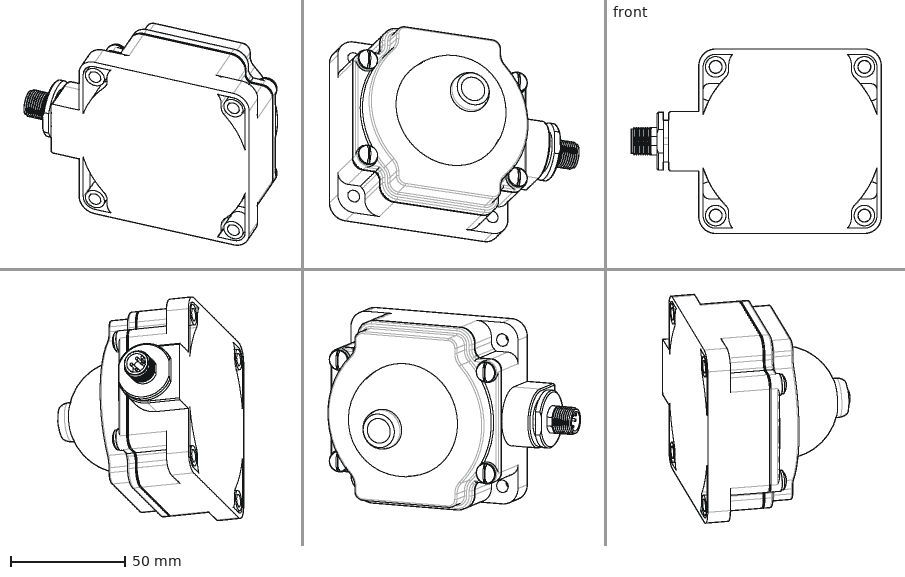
import cadquery as cq
import math


overall_length = 109.6

plate_width = 80.0
plate_height = 80.9
plate_thickness = 10.2
plate_corner_radius = 7.5

body_offset = 2.8
bar_half_height = plate_height / 2 - body_offset
bar_half_width = 24.4
bar_corner_radius = 4.0
disk_radius = 37.4
blend_radius = 7.1

groove_bottom = 27.7
groove_top = 28.4
ledge_level = 32.2
boss_top = 33.5
deck_level = 41.6
overall_depth = 72.3
groove_depth = 0.8
ledge_fillet = 0.9
ledge_blend = 0.8
boss_fillet = 0.4
deck_fillet = 0.8

screw_z = 22.6
ear_radius = 4.8
screw_x = plate_width / 2 - ear_radius
screw_head_radius = 4.4
screw_rim_height = 1.0
screw_head_height = 2.6
screw_slot_width = 1.0
screw_slot_depth = 1.5

mount_spacing = 65.1
mount_hole_radius = 2.7
mount_boss_radius = 4.5

pocket_half_size = 38.0
pocket_corner_radius = 5.4
ear_pocket_inset = 2.2
pocket_core_offset = 2.4
corner_pocket_depth = 8.1
ear_pocket_depth = 24.1
post_level = 16.4

dome_radius = 25.0
cap_radius = 8.7
cap_rim_level = 67.0
cap_shoulder_level = 70.4
cap_shoulder_radius = 7.5
cap_rim_arc_radius = 5.6
crown_radius = 5.5
crown_height = overall_depth - cap_shoulder_level
crown_sphere_radius = (crown_radius ** 2 + crown_height ** 2) / (2 * crown_height)

block_end_x = -53.2
block_root_x = -disk_radius
block_half_width = 13.0
connector_y = groove_bottom - block_half_width
block_chamfer = 0.7

tip_x = plate_width / 2 - overall_length
collar_radius = 9.2
collar_flat = 9.1
flange_back_x = -55.5
flange_front_x = -58.3
flange_radius = 12.7
flange_flat = 11.6
flange_chamfer = 0.7
thread_radius = 6.0
thread_root_radius = 5.4
thread_flat = 5.7
thread_pitch = 1.0
thread_turns = 8
tip_length = 0.9
socket_radius = 4.3
socket_depth = 8.8
pin_radius = 0.5
pin_count = 4
pin_length = 7.7
pin_circle_radius = 2.5
key_radius = 0.7
key_circle_radius = 3.6
key_angle = math.radians(135)


def plane_at(level):
    """Workplane at a level along Y; its local axes are X and Z."""
    return cq.Workplane("XZ", origin=(0, level, 0))


def four_corners(x, z):
    return [(sx * x, sz * z) for sx in (-1, 1) for sz in (-1, 1)]


mount_points = four_corners(mount_spacing / 2, mount_spacing / 2)
screw_points = four_corners(screw_x, screw_z)


def rounded_plate(width, height, radius, bottom, top):
    return plane_at(bottom).rect(width, height).extrude(bottom - top).edges("|Y").fillet(radius)


def disks(points, radius, bottom, top):
    return plane_at(bottom).pushPoints(points).circle(radius).extrude(bottom - top)


def arc_point(center, radius, angle):
    return (center[0] + radius * math.cos(angle), center[1] + radius * math.sin(angle))


def core(offset, bottom, top):
    """The core outline grown by an offset, as a prism between two levels."""
    height = bar_half_height + offset
    wall = bar_half_width + offset
    disk = disk_radius + offset
    corner = (bar_half_width - bar_corner_radius, bar_half_height - bar_corner_radius)
    corner_radius = bar_corner_radius + offset
    blend_x = bar_half_width + blend_radius
    blend = (blend_x, math.sqrt((disk_radius + blend_radius) ** 2 - blend_x ** 2))
    blend_angle = math.atan2(blend[1], blend[0])
    inner_radius = blend_radius - offset
    quarter = (
        plane_at(bottom)
        .moveTo(0, 0)
        .lineTo(0, height)
        .lineTo(corner[0], height)
        .threePointArc(arc_point(corner, corner_radius, math.pi / 4), (wall, corner[1]))
        .lineTo(wall, blend[1])
        .threePointArc(
            arc_point(blend, inner_radius, math.pi + blend_angle / 2),
            arc_point((0, 0), disk, blend_angle),
        )
        .threePointArc(arc_point((0, 0), disk, blend_angle / 2), (disk, 0))
        .close()
        .extrude(bottom - top)
    )
    half = quarter.union(quarter.mirror("XY"))
    return half.union(half.mirror("YZ")).clean()


def body_section(inset, bottom, top):
    """Core and screw ears together, shrunk by an inset."""
    width = plate_width - 2 * inset
    ear_height = 2 * (screw_z + ear_radius - inset)
    ears = rounded_plate(width, ear_height, ear_radius - inset, bottom, top)
    limit = plane_at(bottom).rect(width, plate_height).extrude(bottom - top)
    return core(body_offset - inset, bottom, top).intersect(limit).union(ears).clean()


def make_lid():
    """Ledge above the groove with the deck on it, blended where they meet."""
    deck = core(0, groove_top, deck_level).faces(">Y").edges().fillet(deck_fillet)
    lid = body_section(0, groove_top, ledge_level).union(deck)
    ledge = lid.faces("+Y").faces("<Y").val()
    lid = lid.newObject(ledge.innerWires()[0].Edges()).fillet(ledge_blend)
    ledge = lid.faces("+Y").faces("<Y").val()
    return lid.newObject(ledge.outerWire().Edges()).fillet(ledge_fillet)


def make_shell():
    """Base plate, grooved side walls, lid and screw bosses."""
    plate = rounded_plate(plate_width, plate_height, plate_corner_radius, 0, plate_thickness)
    lower = body_section(0, 0, groove_bottom)
    neck = body_section(groove_depth, groove_bottom, groove_top)
    shell = plate.union(lower).union(neck).union(make_lid())
    bosses = disks(screw_points, ear_radius, groove_top, boss_top)
    return shell.union(bosses.faces(">Y").edges().fillet(boss_fillet))


def make_dome():
    """Half ball on the deck with a capped button at its top, turned about Y."""
    dome = (
        cq.Workplane("XY")
        .moveTo(0, deck_level)
        .lineTo(dome_radius, deck_level)
        .threePointArc(arc_point((0, deck_level), dome_radius, math.pi / 4), (0, deck_level + dome_radius))
        .close()
        .revolve(360, (0, 0, 0), (0, 1, 0))
    )
    cap = (
        cq.Workplane("XY")
        .moveTo(0, deck_level)
        .lineTo(cap_radius, deck_level)
        .lineTo(cap_radius, cap_rim_level)
        .radiusArc((cap_shoulder_radius, cap_shoulder_level), -cap_rim_arc_radius)
        .lineTo(crown_radius, cap_shoulder_level)
        .radiusArc((0, overall_depth), -crown_sphere_radius)
        .close()
        .revolve(360, (0, 0, 0), (0, 1, 0))
    )
    return dome.union(cap)


def make_connector_block():
    block = (
        cq.Workplane("YZ", origin=(block_end_x, 0, 0))
        .moveTo(0, -block_half_width)
        .lineTo(connector_y, -block_half_width)
        .threePointArc((groove_bottom, 0), (connector_y, block_half_width))
        .lineTo(0, block_half_width)
        .close()
        .extrude(block_root_x - block_end_x)
    )
    return block.faces("<X").edges("not(<Y)").chamfer(block_chamfer)


def connector_rod(start_x, end_x, radius, y=0, z=0):
    """Round rod along X, placed relative to the connector axis."""
    return (
        cq.Workplane("YZ", origin=(start_x, connector_y + y, z))
        .circle(radius)
        .extrude(end_x - start_x)
    )


def with_flats(rod, start_x, end_x, flat):
    """Trim a rod to two flats facing -Y and +Y."""
    slab = (
        cq.Workplane("YZ", origin=(start_x, connector_y, 0))
        .rect(2 * flat, 4 * flange_radius)
        .extrude(end_x - start_x)
    )
    return rod.intersect(slab)


def make_thread():
    """Plain tip, thread ridges and neck, turned about the connector axis."""
    x = tip_x + tip_length
    outline = [(tip_x, 0), (tip_x, thread_root_radius), (x, thread_root_radius)]
    for _ in range(thread_turns):
        outline.append((x + thread_pitch / 2, thread_radius))
        x += thread_pitch
        outline.append((x, thread_root_radius))
    outline += [(x, thread_radius), (flange_front_x, thread_radius), (flange_front_x, 0)]
    return (
        cq.Workplane("XY", origin=(0, connector_y, 0))
        .polyline(outline)
        .close()
        .revolve(360, (0, 0, 0), (1, 0, 0))
    )


def make_connector():
    collar = connector_rod(flange_back_x, block_end_x, collar_radius)
    collar = with_flats(collar, flange_back_x, block_end_x, collar_flat)
    flange = connector_rod(flange_front_x, flange_back_x, flange_radius).faces("<X").chamfer(flange_chamfer)
    flange = with_flats(flange, flange_front_x, flange_back_x, flange_flat)
    thread = with_flats(make_thread(), tip_x, flange_front_x, thread_flat)
    socket_floor = tip_x + socket_depth
    thread = thread.cut(connector_rod(tip_x, socket_floor, socket_radius))
    for turn in range(pin_count):
        y, z = arc_point((0, 0), pin_circle_radius, turn * 2 * math.pi / pin_count)
        thread = thread.union(connector_rod(socket_floor - pin_length, socket_floor, pin_radius, y, z))
    key_y, key_z = arc_point((0, 0), key_circle_radius, key_angle)
    thread = thread.union(connector_rod(tip_x + tip_length, socket_floor, key_radius, key_y, key_z))
    return collar.union(flange).union(thread)


def make_pockets():
    """Hollows behind the plate corners, reaching further up inside the screw ears."""
    size = 2 * pocket_half_size
    ear_height = 2 * (screw_z + ear_radius - ear_pocket_inset)
    corners = rounded_plate(size, size, pocket_corner_radius, 0, corner_pocket_depth)
    ears = rounded_plate(size, ear_height, ear_radius - ear_pocket_inset, 0, ear_pocket_depth)
    posts = disks(screw_points, ear_radius, post_level, ear_pocket_depth)
    mount_bosses = disks(mount_points, mount_boss_radius, 0, corner_pocket_depth)
    return corners.union(ears.cut(posts)).cut(core(pocket_core_offset, 0, ear_pocket_depth)).cut(mount_bosses)


def make_housing():
    housing = make_shell().union(make_dome()).union(make_connector_block()).union(make_connector())
    housing = housing.cut(make_pockets())
    return housing.cut(disks(mount_points, mount_hole_radius, 0, plate_thickness))


def make_screw(x, z):
    """Slotted round head resting on a screw boss."""
    rim_level = boss_top + screw_rim_height
    top = boss_top + screw_head_height
    dome_height = screw_head_height - screw_rim_height
    sphere_radius = (screw_head_radius ** 2 + dome_height ** 2) / (2 * dome_height)
    head = (
        cq.Workplane("XY", origin=(x, 0, z))
        .moveTo(0, boss_top)
        .lineTo(screw_head_radius, boss_top)
        .lineTo(screw_head_radius, rim_level)
        .radiusArc((0, top), -sphere_radius)
        .close()
        .revolve(360, (0, 0, 0), (0, 1, 0))
    )
    slot = (
        plane_at(top - screw_slot_depth)
        .center(x, z)
        .rect(screw_slot_width, 2 * screw_head_radius)
        .extrude(-screw_slot_depth)
    )
    return head.cut(slot)


housing = make_housing()
screws = [make_screw(x, z) for x, z in screw_points]

result = cq.Compound.makeCompound([housing.val(), *[screw.val() for screw in screws]])